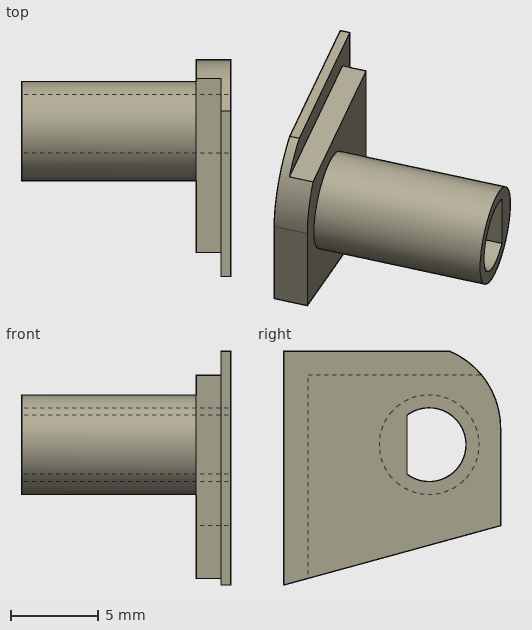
import cadquery as cq
import math

tube_length = 10.0
tube_radius = 2.86
bore_radius = 2.11
bore_flat_offset = 1.26

block_thickness = 1.42
flange_thickness = 0.58
plate_width = 12.44
plate_height = 13.42
plate_top = 5.37
plate_left = 4.1
left_edge_bottom = -4.65
step_width = 1.38
corner_radius = 4.8
corner_center_z = 0.94

plate_right = plate_left - plate_width
plate_bottom = plate_top - plate_height
bottom_slope = (left_edge_bottom - plate_bottom) / plate_width
corner_center_y = plate_left - corner_radius
flange_start = tube_length + block_thickness
total_length = flange_start + flange_thickness


def corner_point(angle):
    """Point (y, z) on the rounded corner, with the angle measured from +Y."""
    return (
        corner_center_y + corner_radius * math.cos(angle),
        corner_center_z + corner_radius * math.sin(angle),
    )


def plate(inset, start, thickness):
    """Plate with a sloped bottom and one rounded corner; inset moves its top and -Y edges inward."""
    top = plate_top - inset
    right = plate_right + inset
    right_bottom = plate_bottom + inset * bottom_slope
    end_angle = math.asin((top - corner_center_z) / corner_radius)
    return (
        cq.Workplane("YZ", origin=(start, 0, 0))
        .moveTo(plate_left, left_edge_bottom)
        .lineTo(*corner_point(0))
        .threePointArc(corner_point(end_angle / 2), corner_point(end_angle))
        .lineTo(right, top)
        .lineTo(right, right_bottom)
        .close()
        .extrude(thickness)
    )


def bore():
    """D-shaped bore through the whole part, with its flat on the -Y side."""
    flat_half_height = math.sqrt(bore_radius**2 - bore_flat_offset**2)
    return (
        cq.Workplane("YZ")
        .moveTo(-bore_flat_offset, -flat_half_height)
        .threePointArc((bore_radius, 0), (-bore_flat_offset, flat_half_height))
        .close()
        .extrude(total_length)
    )


tube = cq.Workplane("YZ").circle(tube_radius).extrude(tube_length)
block = plate(step_width, tube_length, block_thickness)
flange = plate(0, flange_start, flange_thickness)

result = tube.union(block).union(flange).cut(bore())